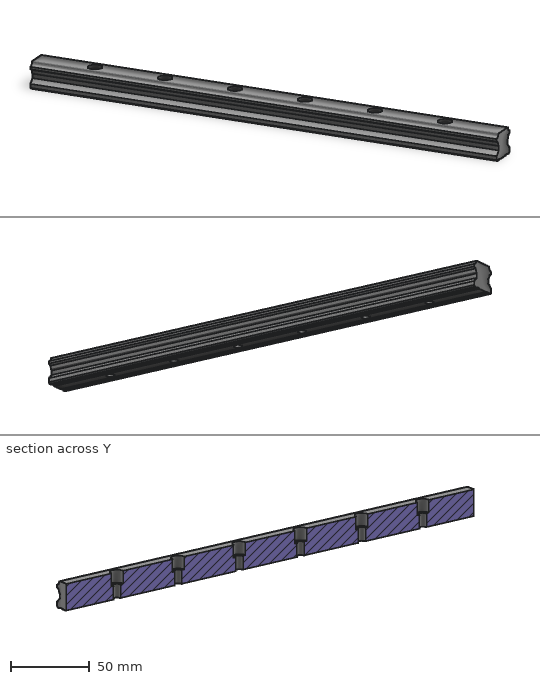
import cadquery as cq

length = 328.5
width = 19.0
height = 18.0
half_width = width / 2

head_half_width = 7.2
head_corner_radius = 0.5
upper_groove_middle = (8.0, 16.0)
flange_top = 15.0

flange_bottom = 13.5
lower_groove_half_width = 8.0
lower_groove_top = 12.5
neck_half_width = 7.2
neck_height = 10.5

web_half_width = 6.5
web_top = 9.5
web_bottom = 6.5
base_side_top = 3.5
base_chamfer = 1.0

relief_inner = 3.5
relief_inner_slope = 0.5
relief_outer = 6.5
relief_depth = 0.3

hole_count = 6
hole_pitch = 49.3
hole_diameter = 5.5
hole_chamfer = 0.3
counterbore_diameter = 9.2
counterbore_depth = 8.5


def rail_body():
    """Extrude one half of the profile along X and mirror it about the XZ plane."""
    half = (
        cq.Workplane("YZ", origin=(-length / 2, 0, 0))
        .lineTo(relief_inner, 0)
        .lineTo(relief_inner + relief_inner_slope, relief_depth)
        .lineTo(relief_outer, relief_depth)
        .lineTo(relief_outer, 0)
        .lineTo(half_width - base_chamfer, 0)
        .lineTo(half_width, base_chamfer)
        .lineTo(half_width, base_side_top)
        .lineTo(web_half_width, web_bottom)
        .lineTo(web_half_width, web_top)
        .lineTo(neck_half_width, neck_height)
        .lineTo(lower_groove_half_width, lower_groove_top)
        .lineTo(half_width, flange_bottom)
        .lineTo(half_width, flange_top)
        .threePointArc(upper_groove_middle, (head_half_width, height - head_corner_radius))
        .radiusArc((head_half_width - head_corner_radius, height), -head_corner_radius)
        .lineTo(0, height)
        .close()
        .extrude(length)
    )
    return half.union(half.mirror("XZ")).clean()


def mounting_hole_cutter():
    """Revolve the counterbored hole, chamfered at its inner rim, about a vertical axis through the origin."""
    hole_radius = hole_diameter / 2
    counterbore_radius = counterbore_diameter / 2
    counterbore_floor = height - counterbore_depth
    return (
        cq.Workplane("XZ")
        .lineTo(hole_radius, 0)
        .lineTo(hole_radius, counterbore_floor - hole_chamfer)
        .lineTo(hole_radius + hole_chamfer, counterbore_floor)
        .lineTo(counterbore_radius, counterbore_floor)
        .lineTo(counterbore_radius, height)
        .lineTo(0, height)
        .close()
        .revolve(360, (0, 0, 0), (0, 1, 0))
    )


def drill_mounting_holes(body):
    """Cut the row of evenly spaced holes, centred on the rail length."""
    cutter = mounting_hole_cutter()
    first_hole_x = -hole_pitch * (hole_count - 1) / 2
    for index in range(hole_count):
        body = body.cut(cutter.translate((first_hole_x + index * hole_pitch, 0, 0)))
    return body


result = drill_mounting_holes(rail_body())